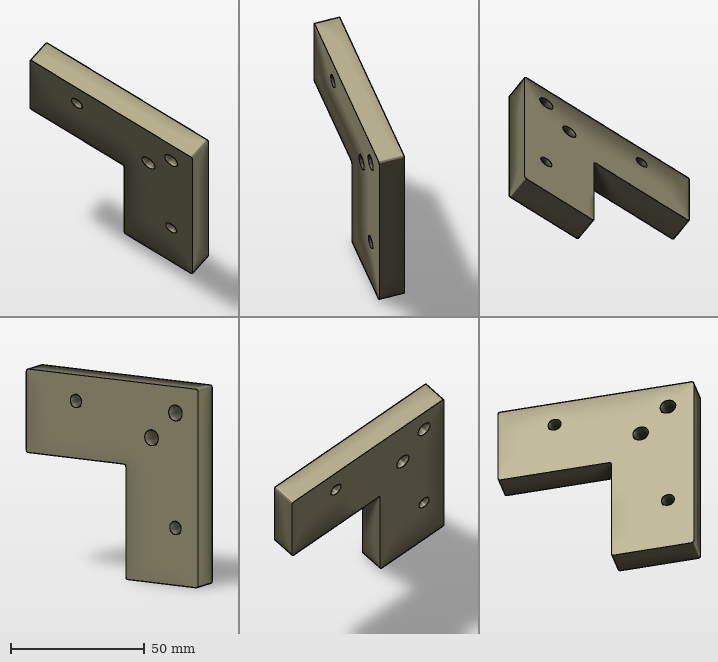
import cadquery as cq
import math

side = 76.0
arm_width = 32.0
thickness = 10.0
corner_radius = 1.0

edge_distance = 10.0
arm_hole_spacing = 44.0
diagonal_spacing = 15.0
large_hole_diameter = 6.0
small_hole_diameter = 5.0

half_side = side / 2
inner_edge = half_side - arm_width
corner_hole = half_side - edge_distance
arm_hole = corner_hole - arm_hole_spacing
inner_hole = corner_hole - diagonal_spacing / math.sqrt(2)

large_holes = [(corner_hole, corner_hole), (inner_hole, inner_hole)]
small_holes = [(arm_hole, corner_hole), (corner_hole, arm_hole)]


def make_plate():
    """L-shaped plate, centred on Y, with all upright corners rounded."""
    outline = [
        (-half_side, half_side),
        (half_side, half_side),
        (half_side, -half_side),
        (inner_edge, -half_side),
        (inner_edge, inner_edge),
        (-half_side, inner_edge),
    ]
    plate = cq.Workplane("XZ").polyline(outline).close().extrude(thickness / 2, both=True)
    return plate.edges("|Y").fillet(corner_radius)


def make_holes(centres, diameter):
    """Cylinders along Y that pass through the full plate thickness."""
    return cq.Workplane("XZ").pushPoints(centres).circle(diameter / 2).extrude(thickness, both=True)


result = (
    make_plate()
    .cut(make_holes(large_holes, large_hole_diameter))
    .cut(make_holes(small_holes, small_hole_diameter))
)